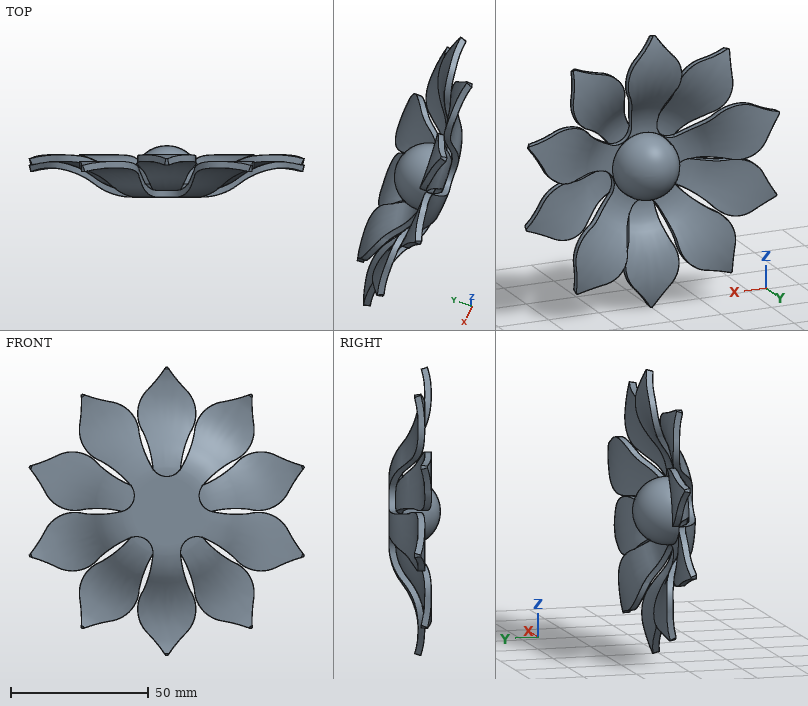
import cadquery as cq
import math


LAYER_COUNT = 2
THICKNESS = 2.4
FLAT_RADIUS = 12.5
BEND_RADIUS = 26.4
TIP_RADIUS = 52.5
CUP_ARC = 22.5
CREST_ARC = 27.5

PETAL_COUNT = 5
NECK = (5.0, 15.3)
NECK_TO_WAIST = (6.3, 22.6)
WAIST = (8.6, 28.9)
BELLY = (10.6, 36.0)
SHOULDER = (6.7, 44.5)
SHOULDER_TO_TIP = (3.5, 48.2)
TIP = (0.3, TIP_RADIUS)
VALLEY_RADIUS = 12.7
TIP_MARGIN = 1.0

DOME_RADIUS = FLAT_RADIUS
TOTAL_DEPTH = 18.8

PETAL_PITCH = 360.0 / PETAL_COUNT
STACK_HEIGHT = LAYER_COUNT * THICKNESS
BEND_ANGLE = math.asin((BEND_RADIUS - FLAT_RADIUS) / CUP_ARC)
CREST_RADIUS = BEND_RADIUS + CREST_ARC * math.sin(BEND_ANGLE)
TIP_ANGLE = math.asin((TIP_RADIUS - CREST_RADIUS) / (CREST_ARC + THICKNESS))
CREST_CENTER_HEIGHT = CUP_ARC - (CUP_ARC + CREST_ARC) * math.cos(BEND_ANGLE)


def cup_point(angle, offset):
    """Point on the cup arc, moved by offset from the front surface to the rear."""
    radius = CUP_ARC - offset
    return FLAT_RADIUS + radius * math.sin(angle), CUP_ARC - radius * math.cos(angle)


def crest_point(angle, offset):
    """Point on the crest arc, moved by offset from the front surface to the rear."""
    radius = CREST_ARC + offset
    return (CREST_RADIUS + radius * math.sin(angle),
            CREST_CENTER_HEIGHT + radius * math.cos(angle))


def bowl():
    return (
        cq.Workplane("XY")
        .lineTo(FLAT_RADIUS, 0)
        .threePointArc(cup_point(BEND_ANGLE / 2, 0), cup_point(BEND_ANGLE, 0))
        .threePointArc(crest_point(0, 0), crest_point(TIP_ANGLE, 0))
        .lineTo(*crest_point(TIP_ANGLE, THICKNESS))
        .threePointArc(crest_point(0, THICKNESS), crest_point(-BEND_ANGLE, THICKNESS))
        .threePointArc(cup_point(BEND_ANGLE / 2, THICKNESS), (FLAT_RADIUS, THICKNESS))
        .lineTo(0, THICKNESS)
        .close()
        .revolve(360, (0, 0, 0), (0, 1, 0))
    )


def turned(point, side, angle):
    """Outline point on one side (+1 or -1) of the petal that points at angle from +Z."""
    across = side * point[0]
    along = point[1]
    a = math.radians(angle)
    return (across * math.cos(a) + along * math.sin(a),
            along * math.cos(a) - across * math.sin(a))


def outline(first_angle):
    past_tip = (TIP[0], TIP[1] + TIP_MARGIN)
    sketch = cq.Workplane("XZ").moveTo(*turned(NECK, -1, first_angle))
    for i in range(PETAL_COUNT):
        angle = first_angle + i * PETAL_PITCH
        sketch = (
            sketch
            .threePointArc(turned(NECK_TO_WAIST, -1, angle), turned(WAIST, -1, angle))
            .threePointArc(turned(BELLY, -1, angle), turned(SHOULDER, -1, angle))
            .threePointArc(turned(SHOULDER_TO_TIP, -1, angle), turned(TIP, -1, angle))
            .lineTo(*turned(past_tip, -1, angle))
            .lineTo(*turned(past_tip, 1, angle))
            .lineTo(*turned(TIP, 1, angle))
            .threePointArc(turned(SHOULDER_TO_TIP, 1, angle), turned(SHOULDER, 1, angle))
            .threePointArc(turned(BELLY, 1, angle), turned(WAIST, 1, angle))
            .threePointArc(turned(NECK_TO_WAIST, 1, angle), turned(NECK, 1, angle))
            .threePointArc(
                turned((0, VALLEY_RADIUS), 1, angle + PETAL_PITCH / 2),
                turned(NECK, -1, angle + PETAL_PITCH),
            )
        )
    return sketch.close().extrude(-TOTAL_DEPTH)


def petal_layer(index):
    """Layer 0 is the front one and has a petal at -Z; layer 1 lies behind it and has one at +Z."""
    first_angle = (index + 1) * PETAL_PITCH / 2
    return bowl().intersect(outline(first_angle)).translate((0, index * THICKNESS, 0))


def dome():
    rim = TOTAL_DEPTH - DOME_RADIUS
    midway = DOME_RADIUS * math.sqrt(0.5)
    return (
        cq.Workplane("XY")
        .moveTo(0, STACK_HEIGHT)
        .lineTo(DOME_RADIUS, STACK_HEIGHT)
        .lineTo(DOME_RADIUS, rim)
        .threePointArc((midway, rim + midway), (0, TOTAL_DEPTH))
        .close()
        .revolve(360, (0, 0, 0), (0, 1, 0))
    )


front_layer = petal_layer(0)
rear_layer = petal_layer(1).cut(front_layer)
center_dome = dome()

result = cq.Compound.makeCompound([*front_layer.vals(), *rear_layer.vals(), center_dome.val()])